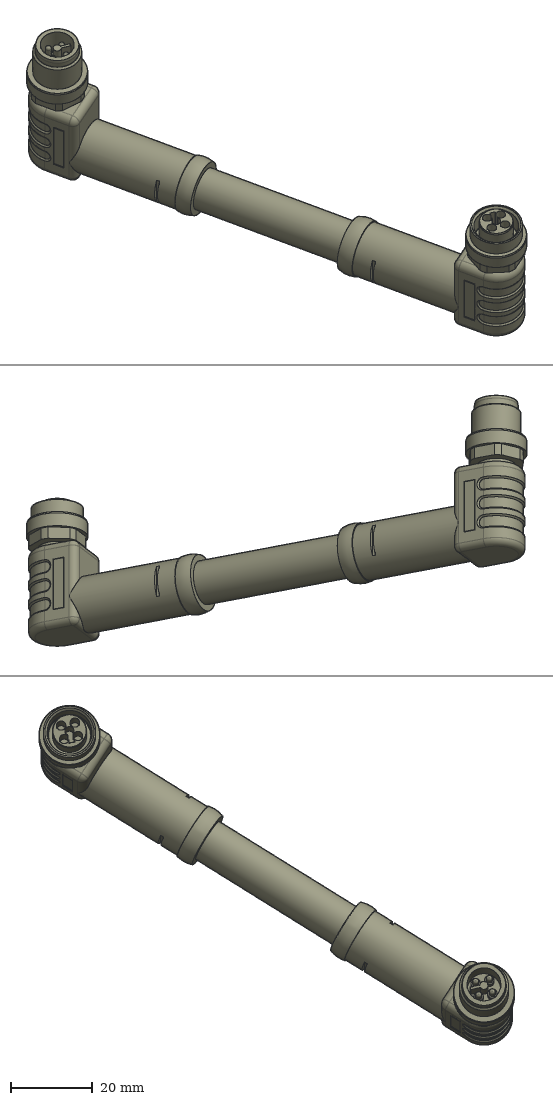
import cadquery as cq

overall_length = 135
overall_height = 40.2
nut_diameter = 15.0
plug_offset = (overall_length - nut_diameter) / 2
cable_diameter = 11.0

housing_radius = 7.0
housing_back = 8.6
housing_bottom = -7.2
housing_top = 15.3
edge_radius = 1.9
bottom_edge_radius = 1.6

groove_heights = (9.0, 4.0, -1.0)
groove_half_width = 1.8
groove_depth = 0.4
label_start = 2.4
label_end = 5.3
label_bottom = -2.7
label_top = 10.5
label_depth = 0.3

sleeve_radius = housing_radius
sleeve_start = 6.9
collar_start = 35.8
collar_end = 40.0
collar_radius = nut_diameter / 2
collar_start_radius = 7.3
collar_peak = 37.1
notch_start = 30.1
notch_width = 0.8
notch_depth = 1.2

neck_diameter = 9.3
nut_hex_flats = 13.0
nut_hex_corners = 14.0
male_hex_angle = 30
female_hex_angle = 0
nut_hex_bottom = 16.3
nut_bottom = 19.3
nut_top = 23.1
rim_chamfer_height = 0.4
rim_chamfer_width = 0.1

contact_offset = 2.4
contact_count = 4
contact_hole_diameter = 2.3
pin_diameter = 1.5
pin_tip_radius = 0.7
key_angle = 45

male_body_diameter = 12.0
male_body_top = 30.5
male_body_chamfer_width = 0.5
male_body_chamfer_height = 0.4
male_tip_diameter = 10.8
male_tip_chamfer_width = 0.1
male_tip_chamfer_height = 0.8
male_top = overall_height - collar_radius
male_bore_diameter = 8.2
male_bore_depth = 6.8
pin_tip_depth = 1.9
pin_seat_diameter = contact_hole_diameter
pin_seat_height = 2.0
key_depth = 1.2
key_post_diameter = 2.0
key_rib_width = 0.7
key_rib_reach = 3.4

female_shell_diameter = 12.8
female_bore_diameter = 11.0
female_mouth_diameter = 12.0
female_shell_top = 26.7
female_insert_diameter = 8.4
female_top = 28.0
female_bore_floor = 21.6
seal_center_diameter = neck_diameter
seal_radius = 0.5
seal_lift = 0.4
socket_depth = 5.4
keyway_diameter = 2.2
keyway_slot_width = 1.4
keyway_slot_reach = 3.0


def disc(diameter, bottom, top):
    """Upright cylinder on the plug axis."""
    return cq.Workplane("XY").workplane(offset=bottom).circle(diameter / 2).extrude(top - bottom)


def contact_circle(diameter, bottom, top):
    """One upright cylinder for each contact, spaced evenly round the plug axis."""
    return (
        cq.Workplane("XY")
        .workplane(offset=bottom)
        .polarArray(contact_offset, 0, 360, contact_count)
        .circle(diameter / 2)
        .extrude(top - bottom)
    )


def key_post(diameter, rib_width, rib_reach, bottom, top):
    """Round post on the plug axis with one rib pointing between two contacts."""
    rib = (
        cq.Workplane("XY")
        .workplane(offset=bottom)
        .center(rib_reach / 2, 0)
        .rect(rib_reach, rib_width)
        .extrude(top - bottom)
        .rotate((0, 0, 0), (0, 0, 1), key_angle)
    )
    return disc(diameter, bottom, top).union(rib)


def housing():
    """Upright block with a half-round front, flat sides and rounded edges."""
    block = (
        cq.Workplane("XY")
        .workplane(offset=housing_bottom)
        .moveTo(housing_back, -housing_radius)
        .lineTo(0, -housing_radius)
        .threePointArc((-housing_radius, 0), (0, housing_radius))
        .lineTo(housing_back, housing_radius)
        .close()
        .extrude(housing_top - housing_bottom)
    )
    block = block.edges("|Z and >X").fillet(edge_radius)
    block = block.faces(">Z").edges().fillet(edge_radius)
    return block.faces("<Z").edges().fillet(bottom_edge_radius)


def grip_groove(height):
    """Groove with 45 degree walls round the front of the housing, with a round end on each side."""
    outer_radius = housing_radius + groove_depth
    floor_radius = housing_radius - groove_depth
    outer_half = groove_half_width + groove_depth
    floor_half = groove_half_width - groove_depth
    band = (
        cq.Workplane("YZ")
        .polyline([
            (floor_radius, height - floor_half),
            (outer_radius, height - outer_half),
            (outer_radius, height + outer_half),
            (floor_radius, height + floor_half),
        ])
        .close()
        .revolve(180, (0, 0, 0), (0, 1, 0))
    )
    for side in (-1, 1):
        end = cq.Solid.makeCone(
            floor_half, outer_half, outer_radius - floor_radius,
            cq.Vector(0, side * floor_radius, height), cq.Vector(0, side, 0),
        )
        band = band.union(cq.Workplane(end))
    return band


def label_recesses():
    """Shallow rectangular recess in each flat side of the housing."""
    length = label_end - label_start
    height = label_top - label_bottom
    middle = ((label_start + label_end) / 2, 0, (label_top + label_bottom) / 2)
    across = cq.Workplane("XY").box(length, 2 * nut_diameter, height)
    core = cq.Workplane("XY").box(length, 2 * (housing_radius - label_depth), height)
    return across.cut(core).translate(middle)


def sleeve():
    """Round sleeve ending in a bulged collar, with a notch across each side."""
    body = (
        cq.Workplane("XZ")
        .moveTo(sleeve_start, 0)
        .lineTo(sleeve_start, sleeve_radius)
        .lineTo(collar_start, sleeve_radius)
        .lineTo(collar_start, collar_start_radius)
        .threePointArc((collar_peak, collar_radius), (collar_end, sleeve_radius))
        .lineTo(collar_end, 0)
        .close()
        .revolve(360, (0, 0, 0), (1, 0, 0))
    )
    for side in (-1, 1):
        notch = cq.Workplane("XY").box(notch_width, 2 * notch_depth, 2 * sleeve_radius)
        body = body.cut(notch.translate((notch_start + notch_width / 2, side * sleeve_radius, 0)))
    return body


def coupling_nut(hex_angle):
    """Neck, hexagon with rounded corners and round collar of the coupling nut."""
    hexagon = (
        cq.Workplane("XY")
        .workplane(offset=nut_hex_bottom)
        .polygon(6, nut_hex_flats, circumscribed=True)
        .extrude(nut_bottom - nut_hex_bottom)
        .rotate((0, 0, 0), (0, 0, 1), hex_angle)
        .intersect(disc(nut_hex_corners, nut_hex_bottom, nut_bottom))
    )
    collar = disc(nut_diameter, nut_bottom, nut_top)
    collar = collar.faces(">Z").chamfer(rim_chamfer_height, rim_chamfer_width)
    neck = disc(neck_diameter, housing_top - edge_radius, nut_hex_bottom)
    return neck.union(hexagon).union(collar)


def connector(hex_angle):
    """Housing, sleeve and coupling nut, with the sleeve pointing along +X."""
    block = housing()
    for height in groove_heights:
        block = block.cut(grip_groove(height))
    block = block.cut(label_recesses())
    return block.union(sleeve()).union(coupling_nut(hex_angle))


def add_female_face(plug):
    """Bore the nut and shell, then add an insert with sockets, a keyway and a seal ring at its foot."""
    mouth_depth = (female_mouth_diameter - female_bore_diameter) / 2
    mouth = cq.Solid.makeCone(
        female_bore_diameter / 2, female_mouth_diameter / 2, mouth_depth,
        cq.Vector(0, 0, female_shell_top - mouth_depth),
    )
    seal = cq.Solid.makeTorus(
        seal_center_diameter / 2, seal_radius, cq.Vector(0, 0, female_bore_floor + seal_lift)
    )
    insert = disc(female_insert_diameter, female_bore_floor, female_top)
    insert = insert.faces(">Z").chamfer(rim_chamfer_height, rim_chamfer_width)
    socket_floor = female_top - socket_depth
    return (
        plug.union(disc(female_shell_diameter, nut_top, female_shell_top))
        .cut(disc(female_bore_diameter, female_bore_floor, female_shell_top))
        .cut(cq.Workplane(mouth))
        .union(insert)
        .union(cq.Workplane(seal))
        .cut(contact_circle(contact_hole_diameter, socket_floor, female_top))
        .cut(key_post(keyway_diameter, keyway_slot_width, keyway_slot_reach, socket_floor, female_top))
    )


def add_male_face(plug):
    """Add a stepped tube whose bore holds round-tipped pins and a coding key."""
    body = (
        disc(male_body_diameter, nut_top, male_body_top)
        .faces(">Z")
        .chamfer(male_body_chamfer_height, male_body_chamfer_width)
    )
    tip = (
        disc(male_tip_diameter, male_body_top, male_top)
        .faces(">Z")
        .chamfer(male_tip_chamfer_height, male_tip_chamfer_width)
    )
    floor = male_top - male_bore_depth
    seats = contact_circle(pin_seat_diameter, floor, floor + pin_seat_height)
    pins = contact_circle(pin_diameter, floor, male_top - pin_tip_depth)
    pins = pins.faces(">Z").edges().fillet(pin_tip_radius)
    return (
        plug.union(body)
        .union(tip)
        .cut(disc(male_bore_diameter, floor, male_top))
        .union(seats)
        .union(pins)
        .union(key_post(key_post_diameter, key_rib_width, key_rib_reach, floor, male_top - key_depth))
    )


def cable():
    """Round cable between the ends of the two sleeves."""
    half_length = plug_offset - collar_end
    return cq.Workplane("YZ").circle(cable_diameter / 2).extrude(half_length, both=True)


male_end = add_male_face(connector(male_hex_angle)).translate((-plug_offset, 0, 0))
female_end = add_female_face(connector(female_hex_angle)).mirror("YZ").translate((plug_offset, 0, 0))
result = male_end.union(cable()).union(female_end)